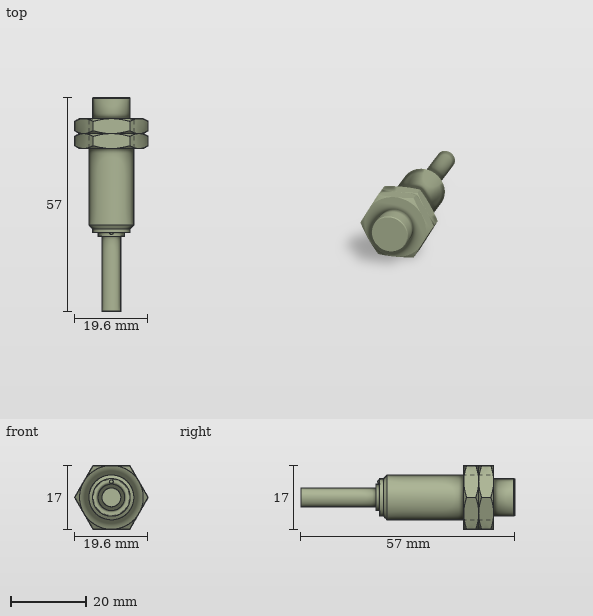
import cadquery as cq
import math

total_length = 57.0

sensing_radius = 5.0
sensing_length = 5.65
sensing_edge_depth = 0.15
sensing_edge_length = 0.35

barrel_radius = 6.0
barrel_end = 35.0
barrel_chamfer = barrel_radius - sensing_radius

end_cap_radius = sensing_radius
end_cap_length = 1.0
collar_radius = 3.55
collar_length = 1.0
cable_radius = 2.5

led_radius = 0.5
led_height = 4.15

nut_across_flats = 17.0
nut_thickness = 4.0
nut_count = 2
nut_chamfer_angle = 30.0

end_cap_end = barrel_end + end_cap_length
collar_end = end_cap_end + collar_length
nut_corner_radius = nut_across_flats / 2 / math.cos(math.pi / 6)
nut_face_radius = nut_across_flats / 2
nut_chamfer_height = (nut_corner_radius - nut_face_radius) * math.tan(math.radians(nut_chamfer_angle))


def revolve_about_y(points):
    """Revolve a closed (radius, Y) outline a full turn around the Y axis."""
    return cq.Workplane("XY").polyline(points).close().revolve(360, (0, 0, 0), (0, 1, 0))


def make_sensor():
    """Sensing tip, barrel, end cap, collar and cable with the indicator lamp on the end cap."""
    turned = revolve_about_y([
        (0, 0),
        (sensing_radius - sensing_edge_depth, 0),
        (sensing_radius, -sensing_edge_length),
        (sensing_radius, -sensing_length),
        (barrel_radius, -sensing_length),
        (barrel_radius, -(barrel_end - barrel_chamfer)),
        (barrel_radius - barrel_chamfer, -barrel_end),
        (end_cap_radius, -end_cap_end),
        (collar_radius, -end_cap_end),
        (collar_radius, -collar_end),
        (cable_radius, -collar_end),
        (cable_radius, -total_length),
        (0, -total_length),
    ])
    lamp = cq.Workplane("XY").sphere(led_radius).translate((0, -end_cap_end, led_height))
    return turned.union(lamp)


def make_nut(front_y):
    """Hexagonal nut chamfered on both faces, extending from front_y toward -Y."""
    hexagon = (
        cq.Workplane("XZ", origin=(0, front_y, 0))
        .polygon(6, 2 * nut_corner_radius)
        .circle(barrel_radius)
        .extrude(nut_thickness)
    )
    back_y = front_y - nut_thickness
    chamfer_envelope = revolve_about_y([
        (0, front_y),
        (nut_face_radius, front_y),
        (nut_corner_radius, front_y - nut_chamfer_height),
        (nut_corner_radius, back_y + nut_chamfer_height),
        (nut_face_radius, back_y),
        (0, back_y),
    ])
    return hexagon.intersect(chamfer_envelope)


sensor = make_sensor()
nuts = [make_nut(-sensing_length - index * nut_thickness) for index in range(nut_count)]

result = cq.Compound.makeCompound([sensor.val(), *[nut.val() for nut in nuts]])